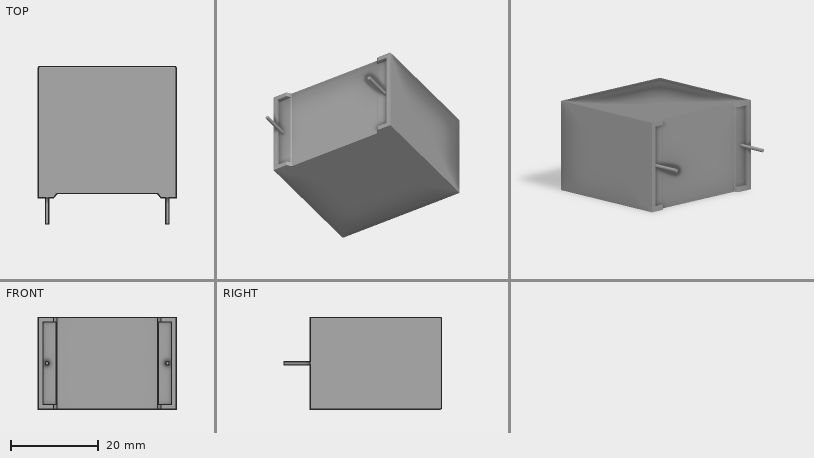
import cadquery as cq


case_width = 31.5
case_depth = 30.0
case_height = 21.0
back_edge_radius = 0.4

foot_height = 1.0
foot_width = 3.5
foot_slope_run = 0.8

pocket_rim = 1.05
pocket_width = 3.05
pocket_height = case_height - 2 * pocket_rim
pocket_floor_y = foot_height
pocket_center_x = case_width / 2 - pocket_rim - pocket_width / 2

lead_diameter = 0.8
lead_pitch = 27.5
lead_standout = 6.0
lead_length = lead_standout + pocket_floor_y

SIDES = (-1, 1)


def block(width, height, front_y, back_y, center_x=0):
    """Box centred on Z = 0 that runs from front_y to back_y."""
    depth = back_y - front_y
    return cq.Workplane("XY").box(width, depth, height).translate((center_x, front_y + depth / 2, 0))


def make_front_recess():
    """Tapered channel between the feet, open at the top and bottom of the case."""
    half_mouth = case_width / 2 - foot_width
    half_floor = half_mouth - foot_slope_run
    outline = [
        (-half_mouth, 0),
        (half_mouth, 0),
        (half_floor, foot_height),
        (-half_floor, foot_height),
    ]
    return cq.Workplane("XY").polyline(outline).close().extrude(case_height / 2, both=True)


def make_case():
    """Case with rounded back edges, two feet and a pocket in each foot."""
    case = block(case_width, case_height, 0, case_depth)
    case = case.faces(">Y").edges().fillet(back_edge_radius)
    case = case.cut(make_front_recess())
    for side in SIDES:
        pocket = block(pocket_width, pocket_height, 0, pocket_floor_y, side * pocket_center_x)
        case = case.cut(pocket)
    return case


def make_lead(side):
    """Round wire that stands out past the foot on the given side."""
    tip = cq.Vector(side * lead_pitch / 2, -lead_standout, 0)
    return cq.Solid.makeCylinder(lead_diameter / 2, lead_length, tip, cq.Vector(0, 1, 0))


case = make_case()
leads = [make_lead(side) for side in SIDES]

result = cq.Compound.makeCompound([case.solids().val(), *leads])